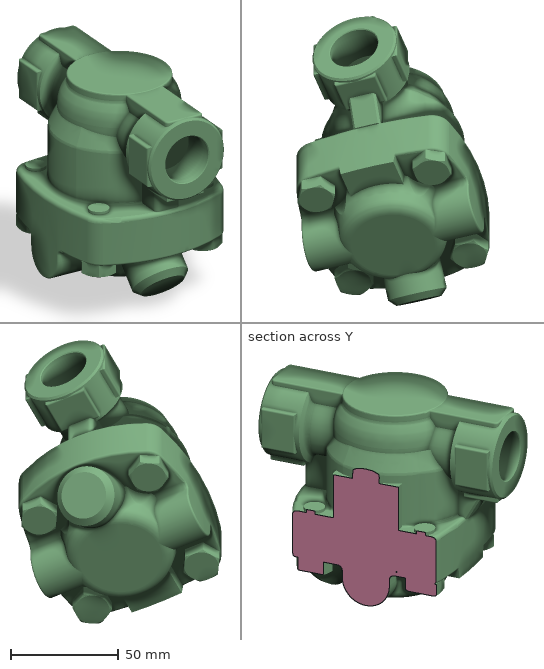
import cadquery as cq
import math

overall_length = 120.0
head_dia = 41.0
head_edge_chamfer = 0.9
head_shoulder_x = 38.8
neck_start_x = 36.8
neck_radius = 16.2
neck_fillet = 2.3
port_dia = 23.4
port_depth = 18.0
port_edge_chamfer = 0.4
flat_width = 20.0
flat_offset = 20.55
flat_inner_x = 41.0
flat_outer_x = 58.2
flat_edge_fillet = 0.8
rib_corner_radius = 2.0

body_x = -1.1
body_radius = 33.4
body_inlet_reach = 36.0
body_outlet_reach = 31.8
body_blend_radius = 4.0
inlet_blend_angle = 135.0
outlet_blend_angle = 68.0
shoulder_bottom_z = -5.5
shoulder_top_z = 3.3
shoulder_fillet = 3.0
dome_radius = 29.0
dome_arc_start_z = 5.5
dome_arc_radius = 16.5
cap_radius = 24.7
cap_top_z = 20.77
cap_fillet = 0.8
cap_root_fillet = 2.0
body_foot_fillet = 1.0
pad_width = 34.0
pad_top_z = -10.0
pad_edge_fillet = 1.4

web_width = 13.2
web_outer_x = 42.7
web_edge_fillet = 2.0
gusset_edge_chamfer = 1.0
gusset_head_x = -48.3
gusset_foot_x = -41.0
gusset_foot_z = -33.5

flange_top_z = -32.25
flange_bottom_z = -56.2
flange_left_x = -40.5
flange_right_x = 44.3
flange_half_width = 41.5
flange_left_arc = 203.0
flange_right_arc = 72.5
flange_side_arc = 113.0
flange_corner_radius = 9.5
flange_top_fillet = 2.0
flange_bottom_fillet = 1.2

bolt_circle_dia = 80.0
bolt_dia = 10.0
bolt_end_height = 1.6
bolt_head_flats = 16.0
bolt_head_height = 6.5
bolt_head_chamfer_angle = 30.0
bolt_clearance_radius = 14.0

bowl_bottom_z = -74.2
bowl_top_radius = 28.0
bowl_bottom_radius = 24.0
bowl_fillet = 5.5
side_lug_half_width = 12.2
side_lug_edge_fillet = 0.8
side_lug_root_fillet = 2.5
inlet_lug_bottom_z = -61.0
inlet_lug_top_half_width = 13.8
inlet_lug_bottom_half_width = 12.9

drain_dia = 28.0
drain_face_x = 37.9
drain_face_z = -73.29
drain_length = 32.0
drain_chamfer = 3.1

pick_margin = 0.1


def box_between(x0, x1, y0, y1, z0, z1):
    """Axis-aligned block given by its limits."""
    return cq.Workplane("XY").box(x1 - x0, y1 - y0, z1 - z0, centered=False).translate((x0, y0, z0))


def cylinder(radius, z0, z1, x=0.0, y=0.0):
    """Vertical cylinder between two heights."""
    return cq.Workplane("XY", origin=(x, y, z0)).circle(radius).extrude(z1 - z0)


def body_edges_at(z):
    """Selector for the edges around the body that lie at one height."""
    reach_x = body_inlet_reach + 2
    reach_y = body_radius + 1.6
    return cq.selectors.BoxSelector(
        (body_x - reach_x, -reach_y, z - pick_margin),
        (body_x + reach_x, reach_y, z + pick_margin),
        boundingbox=True,
    )


def flange_prism(z0, z1):
    """Flange outline: four shallow arcs with rounded corners."""
    left = cylinder(flange_left_arc, z0, z1, flange_left_x + flange_left_arc)
    right = cylinder(flange_right_arc, z0, z1, flange_right_x - flange_right_arc)
    side_centre = flange_side_arc - flange_half_width
    front = cylinder(flange_side_arc, z0, z1, body_x, side_centre)
    back = cylinder(flange_side_arc, z0, z1, body_x, -side_centre)
    prism = left.intersect(right).intersect(front).intersect(back)
    return prism.edges("|Z").fillet(flange_corner_radius)


def flange():
    """Flange plate with rounded top and bottom rims."""
    plate = flange_prism(flange_bottom_z, flange_top_z)
    plate = plate.faces(">Z").edges().fillet(flange_top_fillet)
    return plate.faces("<Z").edges().fillet(flange_bottom_fillet)


def arc_about(centre, radius, angle):
    """Point on a circle at an angle in degrees."""
    a = math.radians(angle)
    return (centre[0] + radius * math.cos(a), centre[1] + radius * math.sin(a))


def body_outline(z):
    """Main circle on the ±Y sides, with a bulged inlet side and a slightly flatter outlet side."""
    inlet_back = arc_about((0, 0), body_radius, inlet_blend_angle)
    inlet_front = arc_about((0, 0), body_radius, -inlet_blend_angle)
    outlet_back = arc_about((0, 0), body_radius, outlet_blend_angle)
    outlet_front = arc_about((0, 0), body_radius, -outlet_blend_angle)
    sharp = (
        cq.Workplane("XY", origin=(body_x, 0, z))
        .moveTo(*outlet_back)
        .threePointArc((0, body_radius), inlet_back)
        .threePointArc((-body_inlet_reach, 0), inlet_front)
        .threePointArc((0, -body_radius), outlet_front)
        .threePointArc((body_outlet_reach, 0), outlet_back)
        .close()
    )
    outline = sharp.val()
    blended = outline.fillet2D(body_blend_radius, outline.Vertices())
    return cq.Workplane("XY", origin=(body_x, 0, z)).add(blended).toPending()


def body_on_flange():
    """Flange and body wall joined by a foot fillet, with the sloped shoulder on top."""
    wall = body_outline(flange_top_z).extrude(shoulder_bottom_z - flange_top_z)
    joined = flange().union(wall)
    joined = joined.edges(body_edges_at(flange_top_z)).fillet(body_foot_fillet)
    shoulder_height = shoulder_top_z - shoulder_bottom_z
    taper = math.degrees(math.atan((body_radius - dome_radius) / shoulder_height))
    shoulder = body_outline(shoulder_bottom_z).extrude(shoulder_height, taper=taper)
    joined = joined.union(shoulder)
    return joined.edges(body_edges_at(shoulder_bottom_z)).fillet(shoulder_fillet)


def dome():
    """Rounded dome and flat cap above the shoulder, turned about the body axis."""
    arc_centre_r = dome_radius - dome_arc_radius
    rise = math.sqrt(dome_arc_radius**2 - (cap_radius - arc_centre_r) ** 2)
    dome_top_z = dome_arc_start_z + rise
    arc_mid = (arc_centre_r + math.sqrt(dome_arc_radius**2 - (rise / 2) ** 2), dome_arc_start_z + rise / 2)
    turned = (
        cq.Workplane("XZ", origin=(body_x, 0, 0))
        .moveTo(0, shoulder_bottom_z)
        .lineTo(dome_radius, shoulder_bottom_z)
        .lineTo(dome_radius, dome_arc_start_z)
        .threePointArc(arc_mid, (cap_radius, dome_top_z))
        .lineTo(cap_radius, cap_top_z)
        .lineTo(0, cap_top_z)
        .close()
        .revolve(360, (0, 0, 0), (0, 1, 0))
    )
    turned = turned.faces(">Z").edges().fillet(cap_fillet)
    return turned.edges(body_edges_at(dome_top_z)).fillet(cap_root_fillet)


def back_pad():
    """Flat pad on the +Y side of the body."""
    half = pad_width / 2
    pad = box_between(body_x - half, body_x + half, 0, body_radius, flange_top_z, pad_top_z)
    return pad.faces(">Y").edges("|Z or >Z").fillet(pad_edge_fillet)


def port_head():
    """Head and neck on the +X side, turned about the port axis, with its wrench flats."""
    end_x = overall_length / 2
    head_radius = head_dia / 2
    head = (
        cq.Workplane("XY")
        .moveTo(0, 0)
        .lineTo(0, neck_radius)
        .lineTo(neck_start_x, neck_radius)
        .lineTo(head_shoulder_x, head_radius)
        .lineTo(end_x - head_edge_chamfer, head_radius)
        .lineTo(end_x, head_radius - head_edge_chamfer)
        .lineTo(end_x, 0)
        .close()
        .revolve(360, (0, 0, 0), (1, 0, 0))
    )
    root = cq.selectors.BoxSelector(
        (neck_start_x - pick_margin, -head_radius, -head_radius),
        (neck_start_x + pick_margin, head_radius, head_radius),
        boundingbox=True,
    )
    head = head.edges(root).fillet(neck_fillet)
    half = flat_width / 2
    side_flats = box_between(flat_inner_x, flat_outer_x, -flat_offset, flat_offset, -half, half)
    side_flats = side_flats.faces("<Y or >Y").edges().fillet(flat_edge_fillet)
    bottom_flat = box_between(flat_inner_x, flat_outer_x, -half, half, -flat_offset, 0)
    bottom_flat = bottom_flat.faces("<Z").edges().fillet(flat_edge_fillet)
    top_rib = box_between(0, flat_outer_x, -half, half, 0, flat_offset)
    top_rib = top_rib.edges("|Z and >X").fillet(rib_corner_radius)
    top_rib = top_rib.faces(">Z").edges("not <X").fillet(flat_edge_fillet)
    return head.union(side_flats).union(bottom_flat).union(top_rib)


def port_bore():
    """Blind bore of the +X port with a small entry chamfer."""
    end_x = overall_length / 2
    radius = port_dia / 2
    return (
        cq.Workplane("XY")
        .moveTo(end_x - port_depth, 0)
        .lineTo(end_x - port_depth, radius)
        .lineTo(end_x - port_edge_chamfer, radius)
        .lineTo(end_x, radius + port_edge_chamfer)
        .lineTo(end_x, 0)
        .close()
        .revolve(360, (0, 0, 0), (1, 0, 0))
    )


def outlet_web():
    """Upright web between the +X head and the flange."""
    half = web_width / 2
    web = box_between(body_x, web_outer_x, -half, half, flange_top_z - flange_top_fillet, 0)
    return web.edges("|Z and >X").fillet(web_edge_fillet)


def inlet_gusset():
    """Sloped gusset between the -X head and the flange."""
    slope = (gusset_foot_x - gusset_head_x) / (gusset_foot_z + flat_offset)
    top_z = -head_dia / 4
    top_x = gusset_foot_x + slope * (top_z - gusset_foot_z)
    gusset = (
        cq.Workplane("XZ")
        .polyline([(top_x, top_z), (body_x, top_z), (body_x, gusset_foot_z), (gusset_foot_x, gusset_foot_z)])
        .close()
        .extrude(web_width / 2, both=True)
    )
    return gusset.faces("<X").edges("not |Y").chamfer(gusset_edge_chamfer)


def bolt_places():
    """Bolt axes on the diagonals of the body axis, in order around it."""
    return [arc_about((body_x, 0), bolt_circle_dia / 2, 45 + 90 * i) for i in range(4)]


def bowl():
    """Tapered bowl under the flange, relieved around the bolt heads."""
    shape = (
        cq.Workplane("XZ", origin=(body_x, 0, 0))
        .moveTo(0, flange_top_z)
        .lineTo(bowl_top_radius, flange_top_z)
        .lineTo(bowl_top_radius, flange_bottom_z)
        .lineTo(bowl_bottom_radius, bowl_bottom_z)
        .lineTo(0, bowl_bottom_z)
        .close()
        .revolve(360, (0, 0, 0), (0, 1, 0))
    )
    shape = shape.faces("<Z").edges().fillet(bowl_fillet)
    for x, y in bolt_places():
        shape = shape.cut(cylinder(bolt_clearance_radius, bowl_bottom_z, flange_bottom_z, x, y))
    return shape


def side_lugs():
    """Round-bottomed bar across the bowl, ending flush with the ±Y sides of the flange."""
    root_z = flange_bottom_z
    centre_z = bowl_bottom_z + side_lug_half_width
    half = side_lug_half_width
    root = side_lug_root_fillet
    bend = root * (1 - math.sqrt(0.5))
    bar = (
        cq.Workplane("XZ", origin=(body_x, 0, 0))
        .moveTo(-half - root, root_z)
        .threePointArc((-half - bend, root_z - bend), (-half, root_z - root))
        .lineTo(-half, centre_z)
        .threePointArc((0, bowl_bottom_z), (half, centre_z))
        .lineTo(half, root_z - root)
        .threePointArc((half + bend, root_z - bend), (half + root, root_z))
        .lineTo(half + root, root_z + root)
        .lineTo(-half - root, root_z + root)
        .close()
        .extrude(flange_half_width + 1, both=True)
    )
    bar = bar.intersect(flange_prism(bowl_bottom_z, flange_bottom_z + root))
    return bar.faces("<Y or >Y").edges("not >Z").fillet(side_lug_edge_fillet)


def inlet_lug():
    """Shallow trapezoidal lug under the -X side of the flange."""
    top_z = flange_bottom_z + flange_bottom_fillet
    lug = (
        cq.Workplane("YZ", origin=(flange_left_x, 0, 0))
        .polyline(
            [
                (-inlet_lug_top_half_width, top_z),
                (inlet_lug_top_half_width, top_z),
                (inlet_lug_bottom_half_width, inlet_lug_bottom_z),
                (-inlet_lug_bottom_half_width, inlet_lug_bottom_z),
            ]
        )
        .close()
        .extrude(body_x - flange_left_x)
    )
    return lug.intersect(flange_prism(inlet_lug_bottom_z, flange_top_z))


def drain_boss():
    """Chamfered round boss leaving the bowl at 45 degrees."""
    direction = cq.Vector(1, 0, -1).normalized()
    face = cq.Vector(drain_face_x, 0, drain_face_z)
    start = face - direction * drain_length
    boss = cq.Workplane(cq.Plane(start.toTuple(), (0, 1, 0), direction.toTuple()))
    boss = boss.circle(drain_dia / 2).extrude(drain_length)
    end_face = cq.selectors.DirectionMinMaxSelector(direction)
    return boss.faces(end_face).edges().chamfer(drain_chamfer)


def bolts():
    """Bolt ends above the flange and hexagon heads below it, each a quarter turn from the last."""
    across_corners = bolt_head_flats / math.cos(math.radians(30))
    chamfer_width = (across_corners - bolt_head_flats) / 2
    chamfer_height = chamfer_width * math.tan(math.radians(bolt_head_chamfer_angle))
    head_blank = cq.Workplane("XY").circle(across_corners / 2).extrude(-bolt_head_height)
    head_blank = head_blank.faces("<Z").chamfer(chamfer_height, chamfer_width)
    solids = []
    for i, (x, y) in enumerate(bolt_places()):
        end = cylinder(bolt_dia / 2, flange_bottom_z, flange_top_z + bolt_end_height, x, y)
        head = (
            cq.Workplane("XY")
            .polygon(6, across_corners)
            .extrude(-bolt_head_height)
            .intersect(head_blank)
            .rotate((0, 0, 0), (0, 0, 1), 90 * i)
            .translate((x, y, flange_bottom_z))
        )
        solids.append(end.union(head))
    return solids


outlet = port_head()
inlet = outlet.mirror("YZ")
outlet_bore = port_bore()
inlet_bore = outlet_bore.mirror("YZ")

result = body_on_flange().union(dome()).union(outlet).union(inlet)
result = result.union(back_pad()).union(outlet_web()).union(inlet_gusset())
result = result.union(bowl()).union(side_lugs()).union(inlet_lug()).union(drain_boss())
for bolt in bolts():
    result = result.union(bolt)
result = result.cut(outlet_bore).cut(inlet_bore)